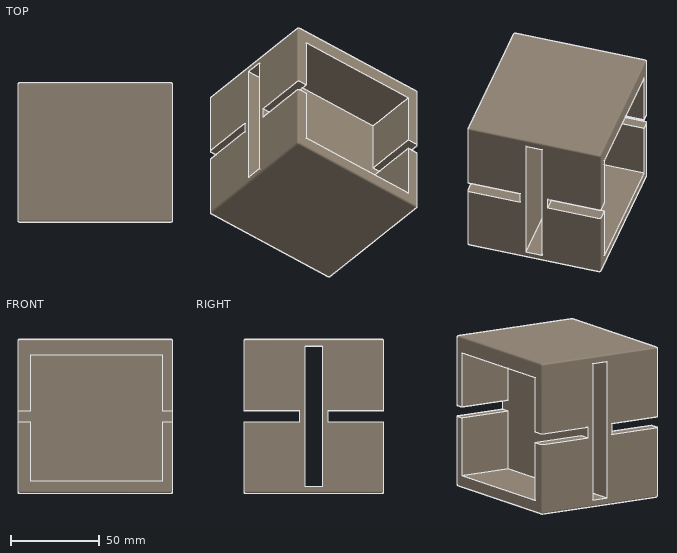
import cadquery as cq

width = 88.0
depth = 79.5
height = 87.8
edge_radius = 1.2

left_wall = 7.1
right_wall = 5.9
top_wall = 9.15
bottom_wall = 7.1
web_thickness = 16.4

slot_width = 9.7
slot_end_wall = 4.1

gap_height = 6.25

pocket_width = width - left_wall - right_wall
pocket_height = height - top_wall - bottom_wall
pocket_depth = (depth - web_thickness) / 2
pocket_center_x = (left_wall - right_wall) / 2
pocket_center_z = (bottom_wall - top_wall) / 2
pocket_center_y = (web_thickness + pocket_depth) / 2
slot_height = height - 2 * slot_end_wall


def make_block():
    return cq.Workplane("XY").box(width, depth, height).edges().fillet(edge_radius)


def make_pocket(side):
    """Pocket on the -Y (side = -1) or +Y (side = 1) half."""
    center = (pocket_center_x, side * pocket_center_y, pocket_center_z)
    return cq.Workplane("XY").box(pocket_width, pocket_depth, pocket_height).translate(center)


def make_gap(side):
    """Gap through both side walls on the -Y or +Y half."""
    center = (0, side * pocket_center_y, 0)
    return cq.Workplane("XY").box(width, pocket_depth, gap_height).translate(center)


def make_web_slot():
    return cq.Workplane("XY").box(width, slot_width, slot_height)


result = make_block().cut(make_web_slot())
for side in (-1, 1):
    result = result.cut(make_pocket(side)).cut(make_gap(side))